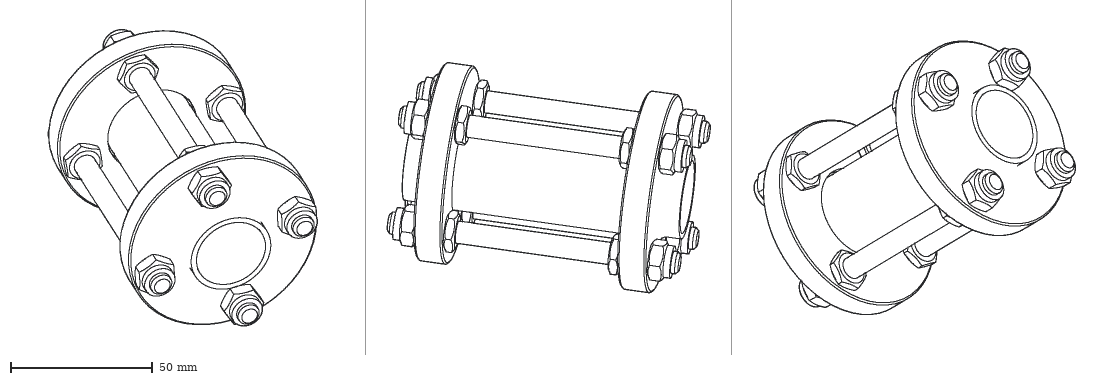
import cadquery as cq
import math

rod_length = 105.0
half_length = rod_length / 2

flange_diameter = 71.0
flange_thickness = 10.2
flange_chamfer = 0.6
flange_outer_x = 41.9
flange_inner_x = flange_outer_x - flange_thickness
hub_diameter = 30.0
hub_end_x = 50.0
hub_fillet = 3.0

tube_diameter = 32.0
bore_diameter = 26.0
seat_diameter = 33.5
seat_depth = 3.0
tube_half_length = flange_inner_x + seat_depth

rod_diameter = 8.0
rod_chamfer = 1.0
rod_count = 4
rod_circle_radius = 27.5
rod_start_angle = 12.8

nut_across_flats = 13.0
nut_corner_diameter = nut_across_flats / math.cos(math.radians(30))
nut_face_diameter = 11.5
nut_chamfer_angle = 30.0
jam_nut_height = 4.0
lock_collar_diameter = nut_face_diameter
lock_collar_height = 2.4
lock_nut_height = hub_end_x - lock_collar_height - flange_outer_x

left_lock_nut_turn = 3.7
left_jam_nut_turn = 7.6
right_jam_nut_turn = -0.6
right_lock_nut_turn = 1.0


def cylinder_x(diameter, start, end):
    """Cylinder on the X axis between two X positions."""
    return cq.Workplane("YZ", origin=(start, 0, 0)).circle(diameter / 2).extrude(end - start)


def hex_nut(start, height, turn):
    """Hexagon nut on the X axis with the corners of both faces chamfered."""
    prism = cq.Workplane("YZ").polygon(6, nut_corner_diameter).extrude(height)
    face_radius = nut_face_diameter / 2
    corner_radius = nut_corner_diameter / 2
    chamfer_depth = (corner_radius - face_radius) * math.tan(math.radians(nut_chamfer_angle))
    envelope = (
        cq.Workplane("XY")
        .polyline([
            (0, 0),
            (0, face_radius),
            (chamfer_depth, corner_radius),
            (height - chamfer_depth, corner_radius),
            (height, face_radius),
            (height, 0),
        ])
        .close()
        .revolve(360, (0, 0, 0), (1, 0, 0))
    )
    nut = prism.intersect(envelope)
    return nut.rotate((0, 0, 0), (1, 0, 0), turn).translate((start, 0, 0))


def right_flange():
    """Chamfered disc with a tube seat inside and a hub that blends into its outer face."""
    disc = cylinder_x(flange_diameter, flange_inner_x, flange_outer_x).edges().chamfer(flange_chamfer)
    hub_radius = hub_diameter / 2
    blend_start_x = flange_outer_x + hub_fillet
    arc_offset = hub_fillet * (1 - math.sqrt(0.5))
    hub = (
        cq.Workplane("XY")
        .moveTo(flange_inner_x, 0)
        .lineTo(flange_inner_x, hub_radius + hub_fillet)
        .lineTo(flange_outer_x, hub_radius + hub_fillet)
        .threePointArc(
            (flange_outer_x + arc_offset, hub_radius + arc_offset),
            (blend_start_x, hub_radius),
        )
        .lineTo(hub_end_x, hub_radius)
        .lineTo(hub_end_x, 0)
        .close()
        .revolve(360, (0, 0, 0), (1, 0, 0))
    )
    seat = cylinder_x(seat_diameter, flange_inner_x, tube_half_length)
    return disc.union(hub).cut(seat)


def tie_rod():
    """Rod on the X axis with a jam nut and a collared lock nut at each end."""
    rod = cylinder_x(rod_diameter, -half_length, half_length).edges().chamfer(rod_chamfer)
    lock_nut_end_x = flange_outer_x + lock_nut_height
    return (
        rod
        .union(hex_nut(-lock_nut_end_x, lock_nut_height, left_lock_nut_turn))
        .union(hex_nut(-flange_inner_x, jam_nut_height, left_jam_nut_turn))
        .union(hex_nut(flange_inner_x - jam_nut_height, jam_nut_height, right_jam_nut_turn))
        .union(hex_nut(flange_outer_x, lock_nut_height, right_lock_nut_turn))
        .union(cylinder_x(lock_collar_diameter, -hub_end_x, -lock_nut_end_x))
        .union(cylinder_x(lock_collar_diameter, lock_nut_end_x, hub_end_x))
    )


flange = right_flange()
body = (
    cylinder_x(tube_diameter, -tube_half_length, tube_half_length)
    .union(flange)
    .union(flange.mirror("YZ"))
    .cut(cylinder_x(bore_diameter, -half_length, half_length))
)

start_angle = math.radians(rod_start_angle)
first_rod = tie_rod().translate(
    (0, -rod_circle_radius * math.sin(start_angle), rod_circle_radius * math.cos(start_angle))
)
result = body
for index in range(rod_count):
    result = result.union(first_rod.rotate((0, 0, 0), (1, 0, 0), index * 360 / rod_count))